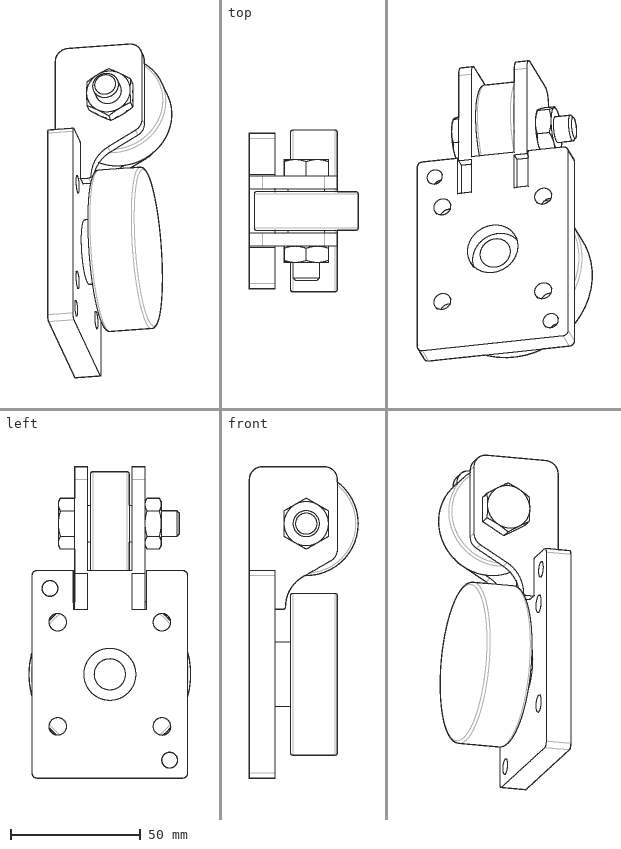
import cadquery as cq
import math

overall_height = 120.0
overall_depth = 42.0

plate_thickness = 10.0
plate_width = 60.0
plate_height = 80.0
plate_corner_radius = 2.0
wheel_axis_z = plate_height / 2

wheel_hole_offset = 20.0
wheel_hole_diameter = 6.7
corner_hole_inset = 7.0
corner_hole_diameter = 6.0

wheel_diameter = 62.4
wheel_back_x = 15.8
wheel_front_x = 34.0
wheel_edge_radius = 1.0
hub_diameter = 25.0
axle_diameter = 20.0
axle_tip_diameter = 12.0
axle_tip_x = 4.0

ear_inner_y = 8.5
ear_thickness = 5.0
ear_outer_y = ear_inner_y + ear_thickness
ear_depth = wheel_front_x
ear_corner_radius = 5.0
ear_side_bottom_z = 85.2
ear_slope_angle = 30.0
ear_neck_radius = 13.2
ear_foot_corner_radius = 1.0
ear_foot_bottom_z = 65.0
ear_foot_front_x = 14.0
ear_step_z = 78.8
ear_foot_back_x = 4.2
slot_clearance = 0.5

roller_diameter = 40.1
roller_width = 15.0
roller_edge_radius = 1.0
roller_axis_x = overall_depth - roller_diameter / 2
roller_axis_z = 98.0
spacer_diameter = 14.2

bolt_diameter = 10.1
bolt_tip_y = -26.8
bolt_tip_chamfer = 1.0
hex_sides = 6
hex_across_flats = 17.0
hex_height = 6.2
hex_chamfer_angle = 30.0


def cylinder_x(diameter, start_x, end_x):
    """Cylinder on the large wheel's axis."""
    profile = cq.Workplane("YZ", origin=(start_x, 0, wheel_axis_z)).circle(diameter / 2)
    return profile.extrude(end_x - start_x)


def cylinder_y(diameter, start_y, end_y):
    """Cylinder on the roller's axis; start_y is the larger Y."""
    profile = cq.Workplane("XZ", origin=(roller_axis_x, start_y, roller_axis_z)).circle(diameter / 2)
    return profile.extrude(start_y - end_y)


def make_plate():
    plate = (
        cq.Workplane("YZ", origin=(0, 0, wheel_axis_z))
        .rect(plate_width, plate_height)
        .extrude(plate_thickness)
        .edges("|X")
        .fillet(plate_corner_radius)
    )
    wheel_holes = (
        cq.Workplane("YZ", origin=(0, 0, wheel_axis_z))
        .rect(2 * wheel_hole_offset, 2 * wheel_hole_offset, forConstruction=True)
        .vertices()
        .circle(wheel_hole_diameter / 2)
        .extrude(plate_thickness)
    )
    corner_y = plate_width / 2 - corner_hole_inset
    corner_z = plate_height / 2 - corner_hole_inset
    corner_holes = (
        cq.Workplane("YZ", origin=(0, 0, wheel_axis_z))
        .pushPoints([(corner_y, corner_z), (-corner_y, -corner_z)])
        .circle(corner_hole_diameter / 2)
        .extrude(plate_thickness)
    )
    axle_hole = cylinder_x(axle_diameter, 0, plate_thickness)
    plate = plate.cut(wheel_holes).cut(corner_holes).cut(axle_hole)

    slot_width = ear_thickness + slot_clearance
    slot_depth = plate_height - ear_foot_bottom_z
    for side in (1, -1):
        slot = cq.Workplane("XY").box(plate_thickness, slot_width, slot_depth, centered=(False, True, False))
        plate = plate.cut(slot.translate((0, side * (ear_inner_y + slot_width / 2), ear_foot_bottom_z)))
    return plate


def make_wheel():
    wheel = cylinder_x(wheel_diameter, wheel_back_x, wheel_front_x).edges().fillet(wheel_edge_radius)
    hub = cylinder_x(hub_diameter, plate_thickness, wheel_back_x)
    tip_chamfer = (axle_diameter - axle_tip_diameter) / 2
    axle = cylinder_x(axle_diameter, axle_tip_x, wheel_back_x).faces("<X").chamfer(tip_chamfer)
    return wheel.union(hub).union(axle)


def make_ear(inner_y):
    """Ear occupying inner_y to inner_y + ear_thickness."""
    slope = math.radians(ear_slope_angle)
    neck_center_x = ear_foot_front_x + ear_neck_radius
    arc_end_x = neck_center_x - ear_neck_radius * math.sin(slope)
    arc_end_z = ear_side_bottom_z - (ear_depth - arc_end_x) * math.tan(slope)
    neck_center_z = arc_end_z - ear_neck_radius * math.cos(slope)
    middle = slope / 2
    arc_middle = (
        neck_center_x - ear_neck_radius * math.cos(middle),
        neck_center_z + ear_neck_radius * math.sin(middle),
    )
    ear = (
        cq.Workplane("XZ", origin=(0, inner_y + ear_thickness, 0))
        .moveTo(0, overall_height)
        .lineTo(ear_depth, overall_height)
        .lineTo(ear_depth, ear_side_bottom_z)
        .lineTo(arc_end_x, arc_end_z)
        .threePointArc(arc_middle, (ear_foot_front_x, neck_center_z))
        .lineTo(ear_foot_front_x, ear_foot_bottom_z)
        .lineTo(ear_foot_back_x, ear_foot_bottom_z)
        .lineTo(ear_foot_back_x, ear_step_z)
        .lineTo(0, ear_step_z)
        .close()
        .extrude(ear_thickness)
    )
    ear = ear.edges("|Y and >Z").fillet(ear_corner_radius)
    side_corner = (ear_depth, inner_y + ear_thickness / 2, ear_side_bottom_z)
    ear = ear.edges(cq.selectors.NearestToPointSelector(side_corner)).fillet(ear_corner_radius)
    return ear.edges("|Y and <Z").edges(">X").fillet(ear_foot_corner_radius)


def make_roller():
    half_width = roller_width / 2
    roller = cylinder_y(roller_diameter, half_width, -half_width).edges().fillet(roller_edge_radius)
    return roller.union(cylinder_y(spacer_diameter, ear_inner_y, -ear_inner_y))


def make_hex(start_y, chamfer_inner_end):
    """Hexagon running hex_height outward from start_y, with its outer end chamfered."""
    half_flat_angle = math.radians(180 / hex_sides)
    across_corners = hex_across_flats / math.cos(half_flat_angle)
    chamfer_run = (across_corners - hex_across_flats) / 2
    chamfer_rise = chamfer_run * math.tan(math.radians(hex_chamfer_angle))
    base = cq.Workplane("XZ")
    hexagon = base.polygon(hex_sides, across_corners).extrude(hex_height)
    hexagon = hexagon.rotate((0, 0, 0), (0, 1, 0), 180 / hex_sides)
    rounding = base.circle(across_corners / 2).extrude(hex_height)
    rounding = rounding.faces("<Y").chamfer(chamfer_rise, chamfer_run)
    if chamfer_inner_end:
        rounding = rounding.faces(">Y").chamfer(chamfer_rise, chamfer_run)
    hexagon = hexagon.intersect(rounding)
    if start_y > 0:
        hexagon = hexagon.mirror("XZ")
    return hexagon.translate((roller_axis_x, start_y, roller_axis_z))


def make_bolt():
    shank = cylinder_y(bolt_diameter, ear_outer_y, bolt_tip_y).faces("<Y").chamfer(bolt_tip_chamfer)
    head = make_hex(ear_outer_y, chamfer_inner_end=False)
    nut = make_hex(-ear_outer_y, chamfer_inner_end=True)
    return shank.union(head).union(nut)


result = make_plate()
for body in (make_wheel(), make_ear(ear_inner_y), make_ear(-ear_outer_y), make_roller(), make_bolt()):
    result = result.union(body)